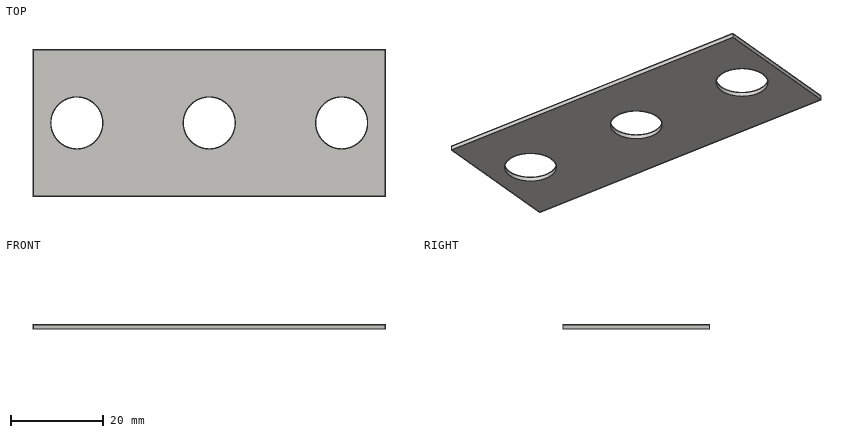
import cadquery as cq

length = 76.2
width = 31.8
thickness = 1.0

hole_diameter = 11.2
hole_pitch = 28.65
hole_count = 3

plate = cq.Workplane("XY").box(length, width, thickness)

result = (
    plate.faces(">Z")
    .workplane()
    .rarray(hole_pitch, width, hole_count, 1)
    .hole(hole_diameter)
)